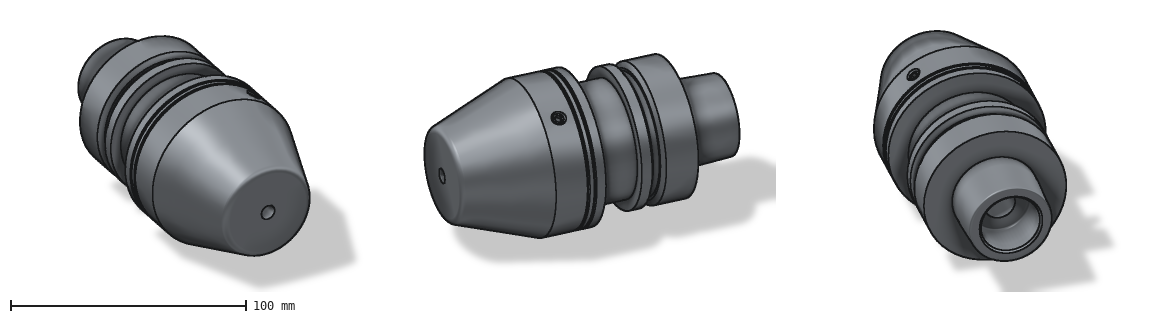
import cadquery as cq
import math

total_length = 130.0

spigot_tip_radius = 18.2
spigot_radius = 19.0
taper_end = 19.0
tip_round = 1.0

flange_start = 25.0
flange_end = 51.1
flange_radius = 31.5
groove_start = 39.8
groove_end = 46.3
groove_chamfer_width = 1.5
groove_wall_angle = 60.0
groove_floor_radius = 27.5

neck_radius = 26.5

head_diameter = 69.5
head_radius = head_diameter / 2
head_back = 67.1
head_shoulder = 69.0
nose_start = 92.0
nose_angle = 20.0
nose_round = 3.1

ring_centers = (73.8, 77.0)
ring_width = 1.2
ring_depth = 0.4

bore_radius = 13.0
bore_depth = 18.1
bore_chamfer = 0.9
bore_floor_round = 1.4
step_radius = 6.9
step_end = 31.2
through_radius = 3.2

screw_x = 84.4
screw_lean = 34.0
screw_radius = 2.5
screw_recess = 0.8
socket_across_flats = 3.0
socket_depth = 2.0


def make_outer_body():
    """Revolve the solid outline of spigot, flange, neck and head about X."""
    chamfer_drop = groove_chamfer_width * math.tan(math.radians(groove_wall_angle))
    groove_lip_radius = flange_radius - chamfer_drop
    nose_length = total_length - nose_start
    nose_tip_radius = head_radius - nose_length * math.tan(math.radians(nose_angle))
    outline = (
        cq.Workplane("XY")
        .lineTo(0, spigot_tip_radius)
        .lineTo(taper_end, spigot_radius)
        .lineTo(flange_start, spigot_radius)
        .lineTo(flange_start, flange_radius)
        .lineTo(groove_start, flange_radius)
        .lineTo(groove_start + groove_chamfer_width, groove_lip_radius)
        .lineTo(groove_start + groove_chamfer_width, groove_floor_radius)
        .lineTo(groove_end - groove_chamfer_width, groove_floor_radius)
        .lineTo(groove_end - groove_chamfer_width, groove_lip_radius)
        .lineTo(groove_end, flange_radius)
        .lineTo(flange_end, flange_radius)
        .lineTo(flange_end, neck_radius)
        .lineTo(head_back, neck_radius)
        .lineTo(head_shoulder, head_radius)
        .lineTo(nose_start, head_radius)
        .lineTo(total_length, nose_tip_radius)
        .lineTo(total_length, 0)
        .close()
    )
    body = outline.revolve(360, (0, 0, 0), (1, 0, 0))
    body = body.faces("<X").edges().fillet(tip_round)
    return body.faces(">X").edges().fillet(nose_round)


def make_ring_groove(center):
    """V-shaped ring cut into the head, centred at the given X."""
    profile = (
        cq.Workplane("XY")
        .moveTo(center - ring_width / 2, head_radius)
        .lineTo(center, head_radius - ring_depth)
        .lineTo(center + ring_width / 2, head_radius)
        .close()
    )
    return profile.revolve(360, (0, 0, 0), (1, 0, 0))


def make_bore():
    """Stepped bore with a chamfered mouth and a rounded floor corner."""
    wall_end = bore_depth - bore_floor_round
    floor_radius = bore_radius - bore_floor_round
    arc_mid = (
        wall_end + bore_floor_round * math.sin(math.pi / 4),
        floor_radius + bore_floor_round * math.cos(math.pi / 4),
    )
    profile = (
        cq.Workplane("XY")
        .lineTo(0, bore_radius + bore_chamfer)
        .lineTo(bore_chamfer, bore_radius)
        .lineTo(wall_end, bore_radius)
        .threePointArc(arc_mid, (bore_depth, floor_radius))
        .lineTo(bore_depth, step_radius)
        .lineTo(step_end, step_radius)
        .lineTo(step_end, through_radius)
        .lineTo(total_length, through_radius)
        .lineTo(total_length, 0)
        .close()
    )
    return profile.revolve(360, (0, 0, 0), (1, 0, 0))


def make_screw_recess():
    """45 degree countersink down to the screw face, with a hex socket below."""
    lean = math.radians(screw_lean)
    outward = cq.Vector(0, math.sin(lean), math.cos(lean))
    face_center = cq.Vector(screw_x, 0, 0) + outward * (head_radius - screw_recess)
    screw_face = cq.Plane(origin=face_center, xDir=(1, 0, 0), normal=outward)

    cone_height = 2 * screw_recess
    cone = cq.Solid.makeCone(
        screw_radius, screw_radius + cone_height, cone_height, face_center, outward
    )
    across_corners = socket_across_flats / math.cos(math.pi / 6)
    socket = (
        cq.Workplane(screw_face)
        .transformed(rotate=(0, 0, 90))
        .polygon(6, across_corners)
        .extrude(-socket_depth)
    )
    return socket.union(cone)


result = make_outer_body()
for ring_center in ring_centers:
    result = result.cut(make_ring_groove(ring_center))
result = result.cut(make_bore())
result = result.cut(make_screw_recess())